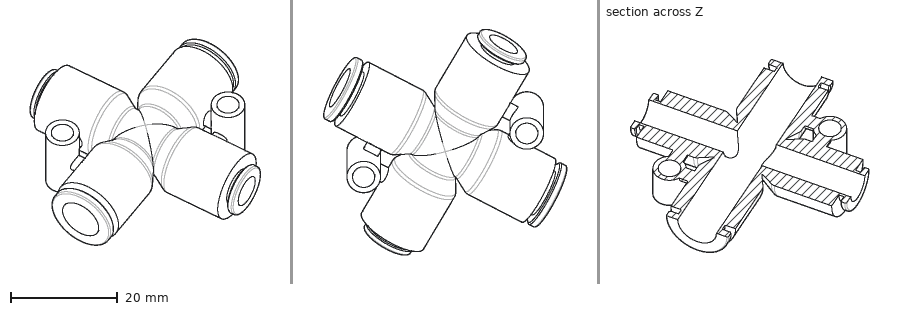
import cadquery as cq
import math

body_diameter = 13.5
body_radius = body_diameter / 2
core_radius = 4.93
taper_angle = math.radians(30)
taper_start = 4.9
core_blend_radius = 1.1
body_blend_radius = 1.35
taper_end = taper_start + (body_radius - core_radius) / math.tan(taper_angle)

y_port = {
    "tip": 22.6,
    "body_end": 20.0,
    "neck_radius": 4.6,
    "collar_radius": 6.5,
    "collar_thickness": 1.55,
    "outer_fillet": 0.25,
    "inner_chamfer": 0.25,
    "bore_radius": 4.02,
}

x_port = {
    "tip": 22.55,
    "body_end": 20.4,
    "neck_radius": 3.6,
    "collar_radius": 5.0,
    "collar_thickness": 1.2,
    "outer_fillet": 0.25,
    "inner_chamfer": 0.23,
    "bore_radius": 3.0,
}

tube_offset = 11.25
tube_radius = 3.15
tube_hole_radius = 2.1
tube_height = body_diameter
strut_radius = 1.55

X_AXIS = (1, 0, 0)
Y_AXIS = (0, 1, 0)


def rod(start, direction, length, radius):
    """Cylinder from the centre of its first end."""
    return cq.Workplane(
        cq.Solid.makeCylinder(radius, length, cq.Vector(*start), cq.Vector(*direction))
    )


def along(direction, distance):
    """Direction vector scaled to a distance."""
    return tuple(distance * component for component in direction)


def tapered_outline():
    """Upper edge of an arm's half profile: core, blended taper, start of the body; arm axis on X."""

    def blend(radius):
        """Tangent length along the axis and along the taper, then the arc's mid-point, for one blend."""
        tangent = radius * math.tan(taper_angle / 2)
        taper_step = (tangent * math.cos(taper_angle), tangent * math.sin(taper_angle))
        middle_step = (
            radius * math.sin(taper_angle / 2) - tangent,
            radius * (1 - math.cos(taper_angle / 2)),
        )
        return tangent, taper_step, middle_step

    core_tangent, core_step, core_middle = blend(core_blend_radius)
    body_tangent, body_step, body_middle = blend(body_blend_radius)
    return (
        cq.Workplane("XY")
        .lineTo(0, core_radius)
        .lineTo(taper_start - core_tangent, core_radius)
        .threePointArc(
            (taper_start + core_middle[0], core_radius + core_middle[1]),
            (taper_start + core_step[0], core_radius + core_step[1]),
        )
        .lineTo(taper_end - body_step[0], body_radius - body_step[1])
        .threePointArc(
            (taper_end - body_middle[0], body_radius - body_middle[1]),
            (taper_end + body_tangent, body_radius),
        )
    )


def arm(port):
    """One arm pointing along +X: body, neck and collar."""
    body = (
        tapered_outline()
        .lineTo(port["body_end"], body_radius)
        .lineTo(port["body_end"], 0)
        .close()
        .revolve(360, (0, 0, 0), X_AXIS)
    )
    neck = rod((0, 0, 0), X_AXIS, port["tip"], port["neck_radius"])
    collar_start = port["tip"] - port["collar_thickness"]
    collar = rod((collar_start, 0, 0), X_AXIS, port["collar_thickness"], port["collar_radius"])
    collar = collar.faces(">X").edges().fillet(port["outer_fillet"])
    collar = collar.faces("<X").edges().chamfer(port["inner_chamfer"])
    return body.union(neck).union(collar)


def bore(direction, port):
    """Straight passage joining two opposite ports."""
    return rod(along(direction, -port["tip"]), direction, 2 * port["tip"], port["bore_radius"])


def mounting_tube(side):
    """Vertical tube with a strut to each neighbouring arm; side is +1 or -1."""
    place = side * tube_offset
    strut_length = tube_offset - (body_radius + y_port["bore_radius"]) / 2
    tube = rod((place, place, -tube_height / 2), (0, 0, 1), tube_height, tube_radius)
    for direction in (X_AXIS, Y_AXIS):
        tube = tube.union(rod((place, place, 0), along(direction, -side), strut_length, strut_radius))
    hole = rod((place, place, -tube_height / 2), (0, 0, 1), tube_height, tube_hole_radius)
    return tube.cut(hole)


result = arm(x_port)
for port, turn in ((y_port, 90), (x_port, 180), (y_port, 270)):
    result = result.union(arm(port).rotate((0, 0, 0), (0, 0, 1), turn))

for side in (1, -1):
    result = result.union(mounting_tube(side))

result = result.cut(bore(X_AXIS, x_port)).cut(bore(Y_AXIS, y_port))